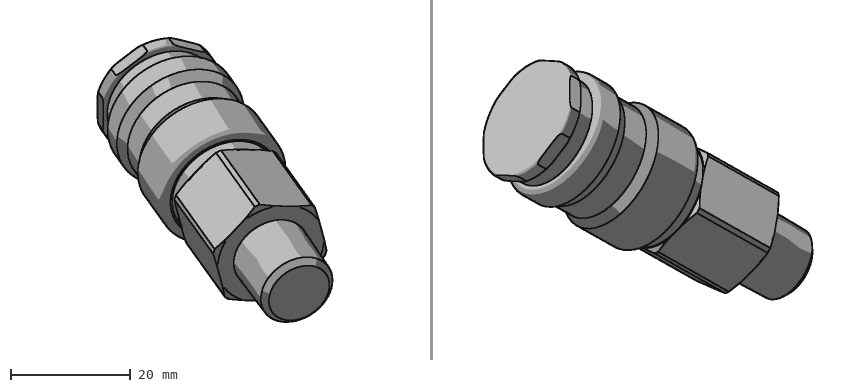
import cadquery as cq
import math


FLANGE_END = 2.5
SLEEVE_START = 5.9
SLEEVE_END = 29.1
HEX_START = 31.65
HEX_END = 48.65
TOTAL_LENGTH = 60.6

FLANGE_DIA = 22.05
FLANGE_FLATS = 21.0
FLANGE_EDGE_RADIUS = 0.4
FLANGE_TURN = 0.0

SEAT_DIA = 19.65
NECK_DIA = 18.95

HEX_DIA = 21.45
HEX_FLATS = 19.0
HEX_END_DIA = 19.35
HEX_CHAMFER = 0.35
HEX_TURN = 12.4

SPIGOT_ROOT_DIA = 13.5
SPIGOT_TIP_DIA = 13.1
TIP_CHAMFER = 1.0

SLEEVE_DIA = 23.15
SLEEVE_EDGE_RADIUS = 1.1
WAIST_DIA = 21.0
WAIST_SLOPE_START = 10.6
WAIST_START = 12.65
WAIST_END = 17.6
WAIST_SLOPE_END = 19.4


def turned(points):
    """Revolve a closed (x, radius) outline about the X axis."""
    return cq.Workplane("XY").polyline(points).close().revolve(360, (0, 0, 0), (1, 0, 0))


def cylinder(start, end, diameter):
    radius = diameter / 2
    return turned([(start, 0), (start, radius), (end, radius), (end, 0)])


def hexagon_bar(start, end, across_flats, turn):
    """Hexagonal bar along X, with a flat facing `turn` degrees from +Y towards +Z."""
    corner_to_flat = 30
    return (
        cq.Workplane("YZ", origin=(start, 0, 0))
        .polygon(6, across_flats / math.cos(math.radians(corner_to_flat)))
        .extrude(end - start)
        .rotate((0, 0, 0), (1, 0, 0), turn - corner_to_flat)
    )


def make_flange():
    """Disc with rounded edges, cut by six flats."""
    disc = cylinder(0, FLANGE_END, FLANGE_DIA).edges("%CIRCLE").fillet(FLANGE_EDGE_RADIUS)
    return disc.intersect(hexagon_bar(0, FLANGE_END, FLANGE_FLATS, FLANGE_TURN))


def make_wrench_hex():
    """Hexagon with turned corners and conical edges at both ends."""
    blank = turned([
        (HEX_START, 0),
        (HEX_START, HEX_END_DIA / 2),
        (HEX_START + HEX_CHAMFER, HEX_DIA / 2),
        (HEX_END - HEX_CHAMFER, HEX_DIA / 2),
        (HEX_END, HEX_END_DIA / 2),
        (HEX_END, 0),
    ])
    return blank.intersect(hexagon_bar(HEX_START, HEX_END, HEX_FLATS, HEX_TURN))


def make_spigot():
    tip_radius = SPIGOT_TIP_DIA / 2
    return turned([
        (HEX_END, 0),
        (HEX_END, SPIGOT_ROOT_DIA / 2),
        (TOTAL_LENGTH - TIP_CHAMFER, tip_radius),
        (TOTAL_LENGTH, tip_radius - TIP_CHAMFER),
        (TOTAL_LENGTH, 0),
    ])


def make_core():
    return (
        make_flange()
        .union(cylinder(FLANGE_END, SLEEVE_END, SEAT_DIA))
        .union(cylinder(SLEEVE_END, HEX_START, NECK_DIA))
        .union(make_wrench_hex())
        .union(make_spigot())
    )


def make_sleeve():
    """Sleeve with rounded outer ends, bored to sit on the core's seat."""
    bore = SEAT_DIA / 2
    outer = SLEEVE_DIA / 2
    waist = WAIST_DIA / 2
    edge = SLEEVE_EDGE_RADIUS
    mid_arc = edge * (1 - math.sqrt(0.5))
    outline = (
        cq.Workplane("XY")
        .moveTo(SLEEVE_START, bore)
        .lineTo(SLEEVE_START, outer - edge)
        .threePointArc((SLEEVE_START + mid_arc, outer - mid_arc), (SLEEVE_START + edge, outer))
        .lineTo(WAIST_SLOPE_START, outer)
        .lineTo(WAIST_START, waist)
        .lineTo(WAIST_END, waist)
        .lineTo(WAIST_SLOPE_END, outer)
        .lineTo(SLEEVE_END - edge, outer)
        .threePointArc((SLEEVE_END - mid_arc, outer - mid_arc), (SLEEVE_END, outer - edge))
        .lineTo(SLEEVE_END, bore)
        .close()
    )
    return outline.revolve(360, (0, 0, 0), (1, 0, 0))


core = make_core()
sleeve = make_sleeve()

result = cq.Compound.makeCompound([core.val(), sleeve.val()])